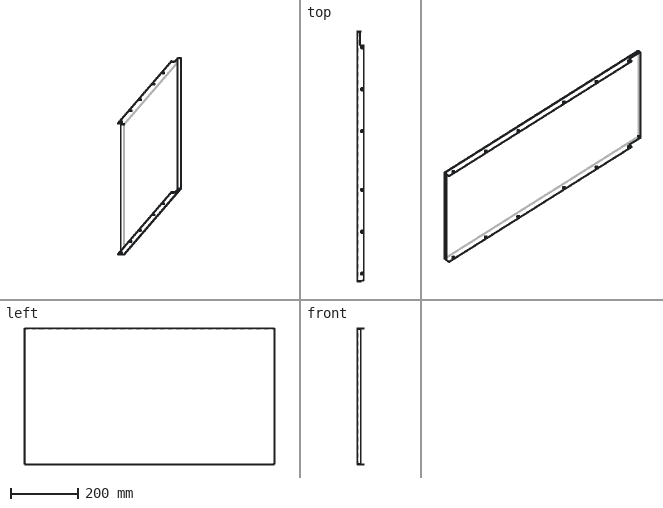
import cadquery as cq

length = 747.0
height = 407.0
depth = 20.0
thickness = 1.5
bend_outer = 2.0
bend_inner = bend_outer - thickness
end_flange_depth = 11.0

step_length = 42.0
step_depth = 9.0

bevel_depth = 5.0
bevel_length = 1.5

hole_diameter = 7.0
hole_x = 15.0
hole_pitch = 125.0
holes_per_group = 3
group_starts = (-349.5, 75.5)

long_fold_length = length - 2 * bend_outer
end_fold_height = height - 2 * bend_outer


def folded_channel(width, flange_depth, span):
    """Channel with rounded bends: web on X = 0, width along Y, span along Z."""
    outer = (
        cq.Workplane("XY")
        .box(flange_depth, width, span, centered=(False, True, True))
        .edges("<X and |Z")
        .fillet(bend_outer)
    )
    inner = (
        cq.Workplane("XY")
        .box(flange_depth, width - 2 * thickness, span, centered=(False, True, True))
        .edges("<X and |Z")
        .fillet(bend_inner)
        .translate((thickness, 0, 0))
    )
    return outer.cut(inner)


long_fold = folded_channel(height, depth, long_fold_length).rotate((0, 0, 0), (1, 0, 0), 90)

step_cut = (
    cq.Workplane("XY")
    .box(depth, step_length, height, centered=(False, False, True))
    .translate((step_depth, length / 2 - step_length, 0))
)
long_fold = long_fold.cut(step_cut)

fold_end = -long_fold_length / 2
bevel_cut = (
    cq.Workplane("XY")
    .polyline([
        (depth - bevel_depth, fold_end),
        (depth, fold_end),
        (depth, fold_end + bevel_length),
    ])
    .close()
    .extrude(height, both=True)
)
long_fold = long_fold.cut(bevel_cut)

hole_points = [
    (hole_x, start + i * hole_pitch)
    for start in group_starts
    for i in range(holes_per_group)
]
holes = (
    cq.Workplane("XY")
    .pushPoints(hole_points)
    .circle(hole_diameter / 2)
    .extrude(height, both=True)
)
long_fold = long_fold.cut(holes)

end_fold = folded_channel(length, end_flange_depth, end_fold_height)

result = long_fold.union(end_fold)